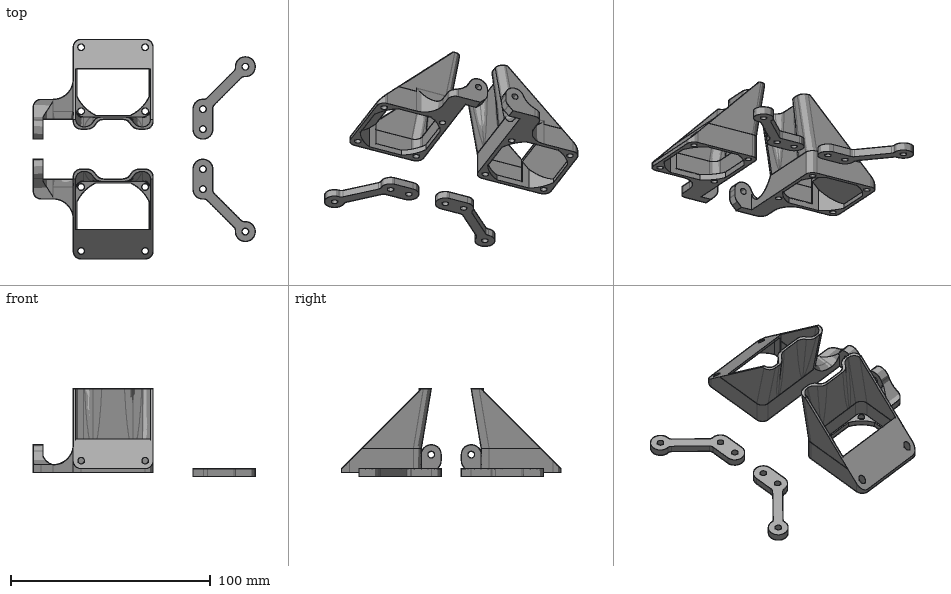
import cadquery as cq
import math


overall_width = 110.0
shroud_left = 20.0
fan_size = 40.0
shroud_right = shroud_left + fan_size
shroud_front = overall_width / 2
shroud_back = shroud_front - fan_size
fan_x = (shroud_left + shroud_right) / 2
fan_y = (shroud_front + shroud_back) / 2

shroud_height = 42.0
wall = 1.2
floor_thickness = 3.0
front_lip_height = 2.0
corner_radius = 4.0
corner_center_x = shroud_left + corner_radius
corner_center_y = shroud_back + corner_radius
panel_edge_y = 40.1
opening_width = 36.0
opening_diameter = 40.0
screw_spacing = 32.0
screw_diameter = 3.2

lobe_start_z = 12.0
lobe_depth = 5.0
lobe_width = 11.2
bend_radius = 5.0
lobe_sections = 6
first_section = 0.05

hook_thickness = 5.0
hook_radius = 5.0
hook_eye_y = 10.0
hook_eye_z = 9.0
hook_heel_z = 6.0
arm_inner_y = shroud_back
arm_width = 10.0
arm_outer_y = arm_inner_y + arm_width
arm_thickness = 4.0
arm_corner_radius = 4.0
flare_radius = 10.0
throat_radius = 6.9
throat_start_z = 8.3
flare_start_x = shroud_left - flare_radius
flare_top_z = arm_thickness + flare_radius

link_left = 80.0
link_radius = 5.0
link_bottom_z = -2.0
link_thickness = 4.0
link_hole_y = 10.0
link_hole_pitch = 10.0
link_arm_offset = 21.2
link_arm_width = 5.0
link_neck_radius = link_arm_width / 2


def box(x0, x1, y0, y1, z0, z1):
    return cq.Workplane("XY").box(x1 - x0, y1 - y0, z1 - z0, centered=False).translate((x0, y0, z0))


def extrude_along_x(yz_outline, x0, x1):
    """Extrude an outline sketched on the YZ plane from x0 to x1."""
    return yz_outline.extrude(x1 - x0).translate((x0, 0, 0))


def extrude_along_y(xz_outline, y0, y1):
    """Extrude an outline sketched on the XZ plane from y0 to y1."""
    return xz_outline.extrude(-(y1 - y0)).translate((0, y0, 0))


def duct_section(workplane, depth, inset, front_y):
    """Duct outline with back lobes of the given depth; its walls are moved inward by inset."""
    half_bend = math.sqrt(4 * bend_radius * depth - depth**2) / 2
    half_width = fan_size / 2 - inset
    wall_y = shroud_back + inset
    lobe_y = wall_y - depth
    bend_center = fan_size / 2 - (lobe_width - inset)
    lobe_center = bend_center + half_bend
    wall_end = bend_center - half_bend
    bend_angle = math.acos(1 - depth / (2 * bend_radius))
    corner_mid = corner_radius * (1 - math.sqrt(0.5))

    def on_lobe(angle):
        x = lobe_center - bend_radius * math.sin(angle)
        return x, lobe_y + bend_radius * (1 - math.cos(angle))

    def on_wall(angle):
        x = wall_end + bend_radius * math.sin(angle)
        return x, wall_y - bend_radius * (1 - math.cos(angle))

    def left(point):
        return fan_x - point[0], point[1]

    def right(point):
        return fan_x + point[0], point[1]

    corner_side = (half_width, lobe_y + corner_radius)
    corner_middle = (half_width - corner_mid, lobe_y + corner_mid)
    corner_end = (half_width - corner_radius, lobe_y)
    return (
        workplane.moveTo(*left((half_width, front_y)))
        .lineTo(*left(corner_side))
        .threePointArc(left(corner_middle), left(corner_end))
        .lineTo(*left(on_lobe(0)))
        .threePointArc(left(on_lobe(bend_angle / 2)), left(on_lobe(bend_angle)))
        .threePointArc(left(on_wall(bend_angle / 2)), left(on_wall(0)))
        .lineTo(*right(on_wall(0)))
        .threePointArc(right(on_wall(bend_angle / 2)), right(on_wall(bend_angle)))
        .threePointArc(right(on_lobe(bend_angle / 2)), right(on_lobe(0)))
        .lineTo(*right(corner_end))
        .threePointArc(right(corner_middle), right(corner_side))
        .lineTo(*right((half_width, front_y)))
        .close()
    )


def lobed_duct(inset, front_y):
    """Upper part of the duct, whose lobes grow linearly with height."""
    workplane = cq.Workplane("XY")
    previous_z = 0
    for i in range(lobe_sections + 1):
        fraction = max(i / lobe_sections, first_section) ** 2
        z = lobe_start_z + (shroud_height - lobe_start_z) * fraction
        workplane = workplane.workplane(offset=z - previous_z)
        workplane = duct_section(workplane, lobe_depth * fraction, inset, front_y)
        previous_z = z
    return workplane.loft(combine=True)


def straight_duct(inset, front_y, bottom_z):
    """Lower, vertical part of the duct with rounded corners at the back."""
    top_z = lobe_start_z + (shroud_height - lobe_start_z) * first_section**2
    block = box(shroud_left + inset, shroud_right - inset, shroud_back + inset, front_y, bottom_z, top_z)
    return block.edges("|Z and <Y").fillet(corner_radius)


def below_slope(drop):
    """Space below the 45 degree panel plane lowered by drop."""
    slope_foot = front_lip_height - drop
    outline = (
        cq.Workplane("YZ")
        .moveTo(0, 0)
        .lineTo(shroud_front, 0)
        .lineTo(shroud_front, slope_foot)
        .lineTo(shroud_back, slope_foot + fan_size)
        .lineTo(0, slope_foot + fan_size)
        .close()
    )
    return extrude_along_x(outline, shroud_left, shroud_right)


def shroud_shell():
    duct = straight_duct(0, shroud_front, 0).union(lobed_duct(0, shroud_front))
    duct = duct.edges("|Z and >Y").fillet(corner_radius)
    back_wall_space = box(
        shroud_left + wall, shroud_right - wall, 0, shroud_back + 2 * wall, 0, shroud_height
    )
    return duct.intersect(below_slope(0).union(back_wall_space))


def shroud_cavity():
    return straight_duct(wall, panel_edge_y, floor_thickness).union(lobed_duct(wall, panel_edge_y))


def fan_opening():
    """Round opening with flattened sides, running up to the underside of the panel."""
    half = opening_width / 2
    square = box(fan_x - half, fan_x + half, fan_y - half, fan_y + half, 0, shroud_height)
    circle = cq.Workplane("XY").circle(opening_diameter / 2).extrude(shroud_height)
    opening = square.intersect(circle.translate((fan_x, fan_y, 0)))
    return opening.intersect(below_slope(wall * math.sqrt(2)))


def screw_holes():
    return (
        cq.Workplane("XY")
        .center(fan_x, fan_y)
        .rect(screw_spacing, screw_spacing, forConstruction=True)
        .vertices()
        .circle(screw_diameter / 2)
        .extrude(shroud_height)
    )


def hook_plate():
    """Plate along X with the eye, the rounded heel and the curve down to the arm."""
    heel_y = hook_eye_y - hook_radius * math.sqrt(0.5)
    heel_z = hook_heel_z - hook_radius * math.sqrt(0.5)
    heel_middle = (
        hook_eye_y - hook_radius * math.cos(math.pi / 8),
        hook_heel_z - hook_radius * math.sin(math.pi / 8),
    )
    run = arm_outer_y - hook_eye_y
    rise = hook_eye_z - arm_thickness
    curve_radius = (run**2 + rise**2 - hook_radius**2) / (2 * (hook_radius + rise))
    touch_angle = math.asin((curve_radius - rise) / (curve_radius + hook_radius))
    touch_point = (
        hook_eye_y + hook_radius * math.cos(touch_angle),
        hook_eye_z + hook_radius * math.sin(touch_angle),
    )
    curve_angle = (touch_angle + math.pi / 2) / 2
    curve_middle = (
        arm_outer_y - curve_radius * math.cos(curve_angle),
        arm_thickness + curve_radius * (1 - math.sin(curve_angle)),
    )
    outline = (
        cq.Workplane("YZ")
        .moveTo(arm_outer_y, 0)
        .lineTo(heel_y + heel_z, 0)
        .lineTo(heel_y, heel_z)
        .threePointArc(heel_middle, (hook_eye_y - hook_radius, hook_heel_z))
        .lineTo(hook_eye_y - hook_radius, hook_eye_z)
        .threePointArc((hook_eye_y, hook_eye_z + hook_radius), touch_point)
        .threePointArc(curve_middle, (arm_outer_y, arm_thickness))
        .close()
    )
    plate = extrude_along_x(outline, 0, flare_start_x)
    plate = plate.edges("|Z and >Y and <X").fillet(arm_corner_radius)
    return plate.cut(hook_throat())


def hook_throat():
    """Space beside the hook plate, rounded where the plate meets the arm."""
    top_z = hook_eye_z + hook_radius
    beside_plate = box(hook_thickness, flare_start_x, 0, arm_inner_y, 0, top_z)
    profile = (
        cq.Workplane("XZ")
        .moveTo(hook_thickness, top_z)
        .lineTo(hook_thickness, throat_start_z)
        .radiusArc((flare_start_x, arm_thickness), -throat_radius)
        .lineTo(flare_start_x, top_z)
        .close()
    )
    return beside_plate.union(extrude_along_y(profile, 0, arm_outer_y))


def flare():
    """Arm widening upward and sideways into the shroud side wall."""
    plan = (
        cq.Workplane("XY")
        .moveTo(flare_start_x, corner_center_y)
        .lineTo(flare_start_x, arm_outer_y)
        .radiusArc((shroud_left, arm_outer_y + flare_radius), -flare_radius)
        .lineTo(shroud_left, corner_center_y)
        .close()
        .extrude(flare_top_z)
    )
    profile = (
        cq.Workplane("XZ")
        .moveTo(flare_start_x, 0)
        .lineTo(flare_start_x, arm_thickness)
        .radiusArc((shroud_left, flare_top_z), -flare_radius)
        .lineTo(shroud_left, 0)
        .close()
    )
    return plan.intersect(extrude_along_y(profile, 0, shroud_front))


def corner_flare():
    """Continuation of the flare around the rounded back corner of the shroud."""
    reach = corner_radius + flare_radius
    skirt_radius = reach + corner_radius
    skirt = (
        cq.Workplane("XZ")
        .lineTo(skirt_radius, 0)
        .lineTo(skirt_radius, arm_thickness)
        .lineTo(reach, arm_thickness)
        .radiusArc((corner_radius, flare_top_z), flare_radius)
        .lineTo(0, flare_top_z)
        .close()
        .revolve(360, (0, 0, 0), (0, 1, 0))
        .translate((corner_center_x, corner_center_y, 0))
    )
    return skirt.intersect(
        box(flare_start_x, corner_center_x, arm_inner_y, corner_center_y, 0, flare_top_z)
    )


def hook_eye_hole():
    outline = cq.Workplane("YZ").center(hook_eye_y, hook_eye_z).circle(screw_diameter / 2)
    return extrude_along_x(outline, 0, hook_thickness)


def make_shroud():
    solid = shroud_shell().union(hook_plate()).union(flare()).union(corner_flare())
    for cutter in (shroud_cavity(), fan_opening(), screw_holes(), hook_eye_hole()):
        solid = solid.cut(cutter)
    return solid


def link_arm():
    """Bar between two round pads, starting at the origin and pointing along +X."""
    length = link_arm_offset * math.sqrt(2)
    bar = cq.Workplane("XY").rect(length, link_arm_width).extrude(link_thickness)
    pads = cq.Workplane("XY").pushPoints([(0, 0), (length, 0)]).circle(link_radius).extrude(link_thickness)
    arm = pads.union(bar.translate((length / 2, 0, 0)))
    neck = cq.selectors.BoxSelector(
        (0, -link_arm_width, 0), (length, link_arm_width, link_thickness)
    )
    return arm.edges("|Z").edges(neck).fillet(link_neck_radius)


def make_link():
    near_x = link_left + link_radius
    elbow_y = link_hole_y + link_hole_pitch
    holes = [
        (near_x, link_hole_y),
        (near_x, elbow_y),
        (near_x + link_arm_offset, elbow_y + link_arm_offset),
    ]
    base = cq.Workplane("XY").workplane(offset=link_bottom_z)
    foot = (
        base.center(near_x, link_hole_y + link_hole_pitch / 2)
        .slot2D(link_hole_pitch + 2 * link_radius, 2 * link_radius, 90)
        .extrude(link_thickness)
    )
    arm = link_arm().rotate((0, 0, 0), (0, 0, 1), 45).translate((near_x, elbow_y, link_bottom_z))
    drills = base.pushPoints(holes).circle(screw_diameter / 2).extrude(link_thickness)
    return foot.union(arm).cut(drills)


bodies = []
for body in (make_shroud(), make_link()):
    bodies.append(body.val())
    bodies.append(body.mirror("XZ").val())

result = cq.Compound.makeCompound(bodies)